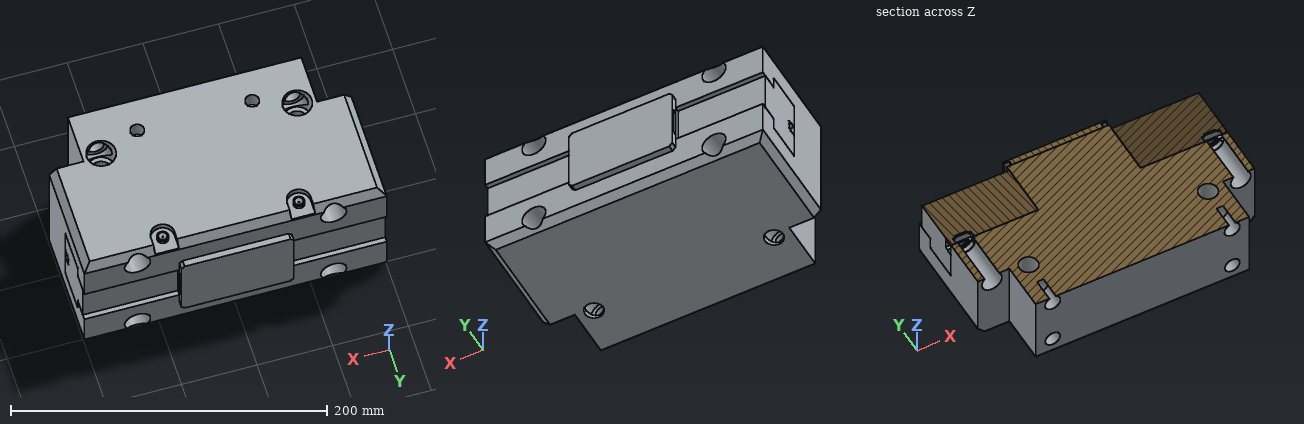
import cadquery as cq
import math

SIDES = (-1, 1)

LENGTH = 200.0
HEIGHT = 89.2
OVERALL_DEPTH = 116.0
COVER_THICKNESS = 4.5
WORK_FACE_Y = OVERALL_DEPTH - COVER_THICKNESS
FOOT_LENGTH = 154.5
FOOT_DEPTH = 34.5
EDGE_CHAMFER = 5.0
TOP_Z = HEIGHT / 2

COVER_LENGTH = 74.5
COVER_HEIGHT = 50.0
COVER_CORNER = 2.2
COVER_NOTCH_HEIGHT = 20.5
COVER_NOTCH_DEPTH = 2.5
COVER_NOTCH_REACH = 4.0

SLOT_DEPTH = 41.5
SLOT_NECK_DEPTH = 14.8
SLOT_NECK_HEIGHT = 30.0
SLOT_HEAD_HEIGHT = 47.5
JAW_SETBACK = 3.5
JAW_LENGTH = (LENGTH - COVER_LENGTH) / 2
SLOT_FLOOR_Y = WORK_FACE_Y - SLOT_DEPTH

ACCESS_X = 89.8
ACCESS_DIAMETER = 14.5
JAW_SEAT_DIAMETER = 16.0
JAW_SEAT_DEPTH = 4.2
JAW_MOUTH_WIDTH = 8.0
JAW_BORE_DIAMETER = 13.0
JAW_BORE_DEPTH = 5.5
JAW_GROOVE_WIDTH = 6.8
JAW_GROOVE_DEPTH = 6.8

BOLT_X = 64.8
BOLT_Z = 34.0
BOLT_DIAMETER = 10.5
BOLT_HEAD_DIAMETER = 17.0
BOLT_SEAT_Y = 20.0
BLIND_DIAMETER = 11.0
BLIND_DEPTH = 16.0
DRILL_POINT_ANGLE = 118.0
CROSS_BOLT_Y = 31.8
CROSS_BOLT_DIAMETER = 12.8
CROSS_BOLT_HEAD_DIAMETER = 19.0
CROSS_BOLT_HEAD_DEPTH = 20.0

DOWEL_DIAMETER = 9.0
DOWEL_DEPTH = 12.0
FRONT_DOWEL_X = 40.0
FRONT_DOWEL_Z = 18.0
TOP_DOWEL_X = 38.0
TOP_DOWEL_Y = 22.0

PORT_X = 45.0
PORT_SETBACK = 10.5
PORT_Y = WORK_FACE_Y - PORT_SETBACK
PORT_POCKET_WIDTH = 15.5
PORT_POCKET_DEPTH = 4.5
PORT_FLOOR_Z = TOP_Z - PORT_POCKET_DEPTH
NIPPLE_DIAMETER = 7.5
NIPPLE_HEIGHT = 2.8
NIPPLE_CHAMFER = 0.5
NIPPLE_CONE_DIAMETER = 5.5
NIPPLE_CONE_DEPTH = 1.2
NIPPLE_BORE_DIAMETER = 0.8


def box(x, y, z):
    """A box spanning three (low, high) ranges."""
    corner = cq.Vector(x[0], y[0], z[0])
    return cq.Workplane(cq.Solid.makeBox(x[1] - x[0], y[1] - y[0], z[1] - z[0], corner))


def centred(size):
    return (-size / 2, size / 2)


def bore_y(x, y, z, diameter, depth):
    """A round cutter running toward +Y from the given point."""
    return cq.Workplane(cq.Solid.makeCylinder(diameter / 2, depth, cq.Vector(x, y, z), cq.Vector(0, 1, 0)))


def bore_down(x, y, z, diameter, depth):
    """A round cutter running toward -Z from the given point."""
    return cq.Workplane(cq.Solid.makeCylinder(diameter / 2, depth, cq.Vector(x, y, z), cq.Vector(0, 0, -1)))


def drill_point_y(x, y, z, diameter):
    """The cone left by a drill at the bottom of a blind hole that runs toward +Y."""
    height = diameter / 2 / math.tan(math.radians(DRILL_POINT_ANGLE / 2))
    return cq.Workplane(cq.Solid.makeCone(diameter / 2, 0, height, cq.Vector(x, y, z), cq.Vector(0, 1, 0)))


def t_profile(side, neck_end_y):
    """T-shaped bar at one end of the housing, head toward the foot, neck ending at neck_end_y."""
    x_range = sorted((side * LENGTH / 2, side * (LENGTH / 2 - JAW_LENGTH)))
    head = box(x_range, (SLOT_FLOOR_Y, WORK_FACE_Y - SLOT_NECK_DEPTH), centred(SLOT_HEAD_HEIGHT))
    neck = box(x_range, (SLOT_FLOOR_Y, neck_end_y), centred(SLOT_NECK_HEIGHT))
    return head.union(neck)


def housing_blank():
    main = box(centred(LENGTH), (FOOT_DEPTH, WORK_FACE_Y), centred(HEIGHT))
    main = main.edges("|Y").chamfer(EDGE_CHAMFER)
    bevel = (
        cq.Workplane("YZ")
        .rect(2 * WORK_FACE_Y, HEIGHT)
        .extrude(LENGTH / 2, both=True)
        .edges("|X and >Y")
        .chamfer(EDGE_CHAMFER)
    )
    foot = box(centred(FOOT_LENGTH), (0, WORK_FACE_Y), centred(HEIGHT))
    return main.union(foot).intersect(bevel)


def cut_mounting_holes(body, side):
    x = side * BOLT_X
    for z in (-BOLT_Z, BOLT_Z):
        body = body.cut(bore_y(x, 0, z, BOLT_DIAMETER, WORK_FACE_Y))
        body = body.cut(bore_y(x, BOLT_SEAT_Y, z, BOLT_HEAD_DIAMETER, WORK_FACE_Y - BOLT_SEAT_Y))
    body = body.cut(bore_y(x, 0, 0, BLIND_DIAMETER, BLIND_DEPTH))
    body = body.cut(drill_point_y(x, BLIND_DEPTH, 0, BLIND_DIAMETER))
    body = body.cut(bore_down(x, CROSS_BOLT_Y, TOP_Z, CROSS_BOLT_DIAMETER, HEIGHT))
    return body.cut(bore_down(x, CROSS_BOLT_Y, TOP_Z, CROSS_BOLT_HEAD_DIAMETER, CROSS_BOLT_HEAD_DEPTH))


def cut_dowel_holes(body, side):
    body = body.cut(bore_y(side * FRONT_DOWEL_X, 0, FRONT_DOWEL_Z, DOWEL_DIAMETER, DOWEL_DEPTH))
    return body.cut(bore_down(side * TOP_DOWEL_X, TOP_DOWEL_Y, TOP_Z, DOWEL_DIAMETER, DOWEL_DEPTH))


def cut_port_pocket(body, side):
    """A U-shaped pocket open to the working face."""
    x = side * PORT_X
    half_width = PORT_POCKET_WIDTH / 2
    body = body.cut(bore_down(x, PORT_Y, TOP_Z, PORT_POCKET_WIDTH, PORT_POCKET_DEPTH))
    return body.cut(box((x - half_width, x + half_width), (PORT_Y, WORK_FACE_Y), (PORT_FLOOR_Z, TOP_Z)))


def add_nipple(body, side):
    """A short stub on the pocket floor with a funnel mouth and a fine bore."""
    x = side * PORT_X
    tip_z = PORT_FLOOR_Z + NIPPLE_HEIGHT
    stub = bore_down(x, PORT_Y, tip_z, NIPPLE_DIAMETER, NIPPLE_HEIGHT)
    stub = stub.faces(">Z").chamfer(NIPPLE_CHAMFER)
    funnel = cq.Solid.makeCone(
        NIPPLE_CONE_DIAMETER / 2,
        NIPPLE_BORE_DIAMETER / 2,
        NIPPLE_CONE_DEPTH,
        cq.Vector(x, PORT_Y, tip_z),
        cq.Vector(0, 0, -1),
    )
    stub = stub.cut(cq.Workplane(funnel))
    stub = stub.cut(bore_down(x, PORT_Y, tip_z, NIPPLE_BORE_DIAMETER, NIPPLE_HEIGHT))
    return body.union(stub)


def make_housing():
    body = housing_blank()
    for side in SIDES:
        body = body.cut(t_profile(side, WORK_FACE_Y))
        body = body.cut(bore_y(side * ACCESS_X, FOOT_DEPTH, 0, ACCESS_DIAMETER, SLOT_FLOOR_Y - FOOT_DEPTH))
        body = cut_mounting_holes(body, side)
        body = cut_dowel_holes(body, side)
        body = cut_port_pocket(body, side)
        body = add_nipple(body, side)
    return body


def make_jaw(side):
    """A T-shaped jaw with a stepped seat and a stepped groove running out through its end face."""
    x = side * ACCESS_X
    jaw = t_profile(side, WORK_FACE_Y - JAW_SETBACK)
    jaw = jaw.cut(bore_y(x, SLOT_FLOOR_Y, 0, JAW_SEAT_DIAMETER, JAW_SEAT_DEPTH))
    jaw = jaw.cut(bore_y(x, SLOT_FLOOR_Y, 0, JAW_BORE_DIAMETER, JAW_BORE_DEPTH))

    mouth_x = sorted((side * LENGTH / 2, x))
    mouth_y = (SLOT_FLOOR_Y, SLOT_FLOOR_Y + JAW_SEAT_DEPTH)
    jaw = jaw.cut(box(mouth_x, mouth_y, centred(JAW_MOUTH_WIDTH)))

    groove_x = sorted((side * LENGTH / 2, side * (ACCESS_X - JAW_SEAT_DIAMETER / 2)))
    groove_y = (SLOT_FLOOR_Y, SLOT_FLOOR_Y + JAW_GROOVE_DEPTH)
    return jaw.cut(box(groove_x, groove_y, centred(JAW_GROOVE_WIDTH)))


def make_cover():
    """A plate on the working face between the jaws, notched underneath at both ends."""
    cover = box(centred(COVER_LENGTH), (WORK_FACE_Y, OVERALL_DEPTH), centred(COVER_HEIGHT))
    cover = cover.edges("|Y").chamfer(COVER_CORNER)
    notch_y = (WORK_FACE_Y, WORK_FACE_Y + COVER_NOTCH_DEPTH)
    for side in SIDES:
        notch_x = sorted((side * COVER_LENGTH / 2, side * (COVER_LENGTH / 2 - COVER_NOTCH_REACH)))
        cover = cover.cut(box(notch_x, notch_y, centred(COVER_NOTCH_HEIGHT)))
    return cover


housing = make_housing()
jaws = [make_jaw(side).val() for side in SIDES]
cover = make_cover()

result = cq.Compound.makeCompound([housing.val(), *jaws, cover.val()])